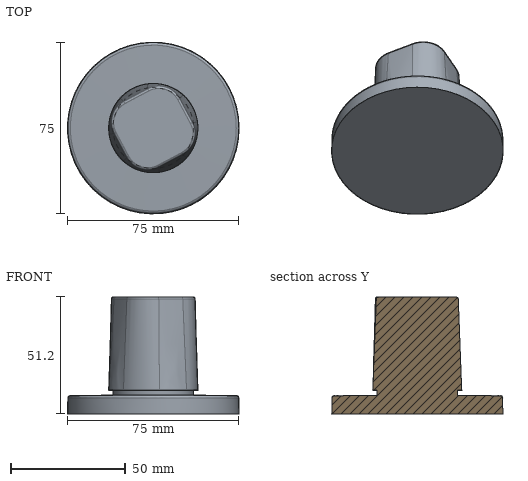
import cadquery as cq
import math

total_height = 51.2
base_radius = 37.5
base_draft = 0.15
rim_height = 8.1
rim_fillet = 1.1
crown_height = 8.3

neck_radius = 35.3 / 2
knob_radius = 19.5
knob_bottom = 10.4
lip_height = 0.45
grip_bottom = knob_bottom + lip_height

flat_distance = 16.2
half_flat = 5.9
corner_radius = flat_distance - half_flat
grip_turn = 28.0
flat_half_angle = math.degrees(math.atan2(half_flat, flat_distance))
top_fillet = 1.0


def polar(radius, angle):
    """Point at a radius and an angle in degrees."""
    a = math.radians(angle)
    return (radius * math.cos(a), radius * math.sin(a))


def make_base():
    """Turned flange with a rounded rim and a shallow conical top."""
    profile = (
        cq.Workplane("XZ")
        .lineTo(base_radius, 0)
        .lineTo(base_radius - base_draft, rim_height)
        .lineTo(neck_radius, crown_height)
        .lineTo(0, crown_height)
        .close()
    )
    flange = profile.revolve(360, (0, 0, 0), (0, 1, 0))
    return flange.edges(cq.selectors.RadiusNthSelector(1)).fillet(rim_fillet)


def circle_section():
    """Circle split into four arcs below the flats and four below the corners."""
    start_angle = grip_turn - flat_half_angle
    wire = cq.Workplane("XY").workplane(offset=grip_bottom).moveTo(*polar(knob_radius, start_angle))
    for quarter in range(4):
        middle = grip_turn + 90 * quarter
        wire = wire.threePointArc(
            polar(knob_radius, middle),
            polar(knob_radius, middle + flat_half_angle),
        ).threePointArc(
            polar(knob_radius, middle + 45),
            polar(knob_radius, middle + 90 - flat_half_angle),
        )
    return wire.close().val()


def square_section():
    """Rounded square made of four flats and four tangent corner arcs."""
    flat_end_radius = math.hypot(flat_distance, half_flat)
    corner_reach = half_flat * math.sqrt(2) + corner_radius
    start = polar(flat_end_radius, grip_turn - flat_half_angle)
    wire = cq.Workplane("XY").workplane(offset=total_height).moveTo(*start)
    for quarter in range(4):
        middle = grip_turn + 90 * quarter
        wire = wire.lineTo(*polar(flat_end_radius, middle + flat_half_angle)).threePointArc(
            polar(corner_reach, middle + 45),
            polar(flat_end_radius, middle + 90 - flat_half_angle),
        )
    return wire.close().val()


def make_grip():
    """Grip blending from the circle up to the rounded square."""
    solid = cq.Solid.makeLoft([circle_section(), square_section()], True)
    return cq.Workplane("XY").add(solid).faces(">Z").edges().fillet(top_fillet)


neck = cq.Workplane("XY").circle(neck_radius).extrude(grip_bottom)
lip = cq.Workplane("XY").workplane(offset=knob_bottom).circle(knob_radius).extrude(lip_height)

result = make_base().union(neck).union(lip).union(make_grip())